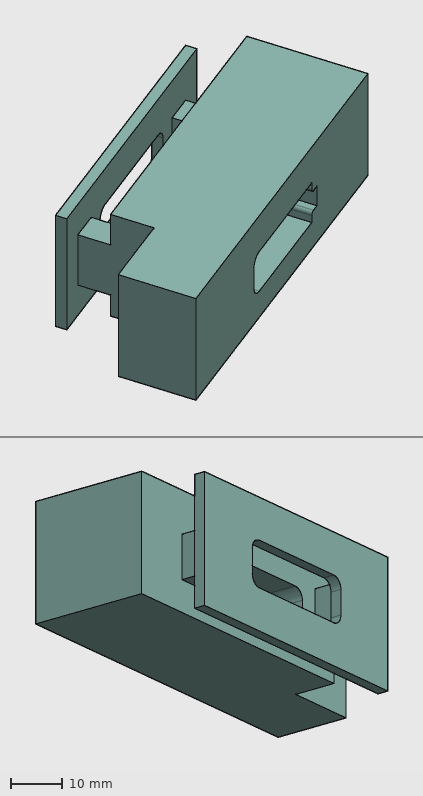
import cadquery as cq

body_length = 76.8
body_width = 26.3
body_height = 25.65
step_width = 9.45
step_length = 16.0

plate_thickness = 2.45
plate_length = 58.05
plate_height = 28.0
plate_end_inset = 7.7

post_length = 7.1
post_width = 6.0
near_post_height = 12.7
far_post_height = 9.5
far_post_inset = 12.75

window_length = 28.0
window_height = 10.0
window_radius = 2.3
window_inset = 22.8
neck_height = 4.9
neck_shoulder = 2.3
neck_corner_radius = 0.8

top_z = plate_height
mid_z = plate_height / 2
far_y = body_length / 2
near_y = -far_y
post_x = plate_thickness
body_x = post_x + post_length
total_width = body_x + body_width
step_y = near_y + step_length
window_far_y = far_y - window_inset
window_near_y = window_far_y - window_length
post_inner_y = far_y - far_post_inset - post_width


def block(x_start, x_end, y_start, y_end, z_start, z_end):
    """Box spanning the given limits on each axis."""
    size = (x_end - x_start, y_end - y_start, z_end - z_start)
    return cq.Workplane("XY").box(*size, centered=False).translate((x_start, y_start, z_start))


def make_body():
    """Tall block with one corner cut back to form the step."""
    body = block(body_x, total_width, near_y, far_y, top_z - body_height, top_z)
    step = block(body_x, body_x + step_width, near_y, step_y, top_z - body_height, top_z)
    return body.cut(step)


def make_plate():
    """Flat plate standing parallel to the body."""
    plate_far_y = far_y - plate_end_inset
    return block(0, plate_thickness, plate_far_y - plate_length, plate_far_y, 0, plate_height)


def make_post(y_start, post_height):
    """Rectangular post between the plate and the body."""
    half_height = post_height / 2
    return block(post_x, body_x, y_start, y_start + post_width, mid_z - half_height, mid_z + half_height)


def rounded_window(x_start, x_end):
    """Rounded rectangular window running along X."""
    half_height = window_height / 2
    window = block(x_start, x_end, window_near_y, window_far_y, mid_z - half_height, mid_z + half_height)
    return window.edges("|X").fillet(window_radius)


def body_opening():
    """Window that narrows through rounded shoulders to a neck ending level with the plate window."""
    shoulder_y = window_far_y - neck_shoulder
    half_height = window_height / 2
    half_neck = neck_height / 2
    opening = block(body_x, total_width, window_near_y, shoulder_y, mid_z - half_height, mid_z + half_height)
    opening = opening.edges("|X and <Y").fillet(window_radius)
    neck = block(body_x, total_width, shoulder_y, window_far_y, mid_z - half_neck, mid_z + half_neck)
    shoulder_corners = cq.selectors.BoxSelector(
        (body_x, shoulder_y - neck_corner_radius / 2, mid_z - half_neck - neck_corner_radius),
        (total_width, shoulder_y + neck_corner_radius / 2, mid_z + half_neck + neck_corner_radius),
    )
    opening = opening.union(neck)
    inner_corners = opening.edges("|X").edges(shoulder_corners)
    return inner_corners.fillet(neck_corner_radius)


result = make_body().union(make_plate())
for post_y, height in ((step_y, near_post_height), (post_inner_y, far_post_height)):
    result = result.union(make_post(post_y, height))
result = result.cut(rounded_window(0, plate_thickness))
result = result.cut(body_opening())